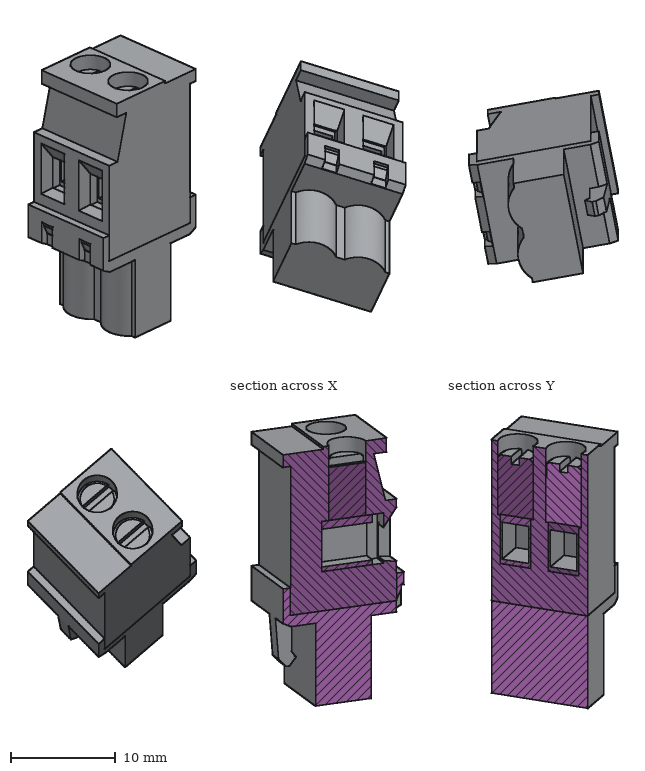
import cadquery as cq


width = 10.0
depth = 12.6
height = 26.0
pole_count = 2
pole_pitch = width / pole_count
pole_positions = [(i - (pole_count - 1) / 2) * pole_pitch for i in range(pole_count)]

base_bottom = 8.32
base_top = 12.27
base_floor = 9.52
wall = 0.78
bevel_depth = 0.83
bevel_height = 0.45
plug_front = 4.32
plug_back = 9.2
barrel_width = 4.13
barrel_bulge = 0.9

notch_width = 1.45
notch_top = 11.0
notch_slope_top = 10.55
notch_slope_bottom = 9.57
notch_top_depth = 0.29

hook_width = 1.45
hook_inner = 10.92
hook_barb_tip = 10.45
hook_outer_end = 12.27
hook_end_inner = 11.15
hook_end_outer = 11.52
hook_barb_top = 5.2
hook_barb_height = 4.58
hook_bottom = 3.77

housing_back = depth - wall
top_step_height = 0.25
rear_top = height - top_step_height
rear_lip_bottom = 24.45
top_step_position = 8.42
front_lip = 1.82
front_lip_bottom = 24.55
slope_top_depth = 3.12
slope_bottom_depth = 1.92
front_face_top = 19.73

entry_width = 3.1
entry_bottom = 13.47
entry_top = 18.88
funnel_end_width = 2.63
funnel_end_bottom = 13.7
funnel_end_top = 17.0
funnel_length = 1.35

screw_axis = 5.93
screw_diameter = 3.8
screw_top_diameter = 3.22
screw_recess = 1.38
screw_top = height - screw_recess
screw_bevel = 0.25
driver_slot_width = 0.78
driver_slot_depth = 0.78

chamber_front = wall + funnel_length
chamber_width = entry_width
chamber_bottom = entry_bottom
chamber_top = 18.45
clamp_front = 3.3
clamp_back = 2 * screw_axis - clamp_front
clamp_opening_width = 2.68
clamp_opening_bottom = 13.94
clamp_opening_top = 17.68


def box(x_centre, x_size, y_min, y_max, z_min, z_max):
    size = (x_size, y_max - y_min, z_max - z_min)
    return cq.Workplane("XY").box(*size, centered=(True, False, False)).translate((x_centre, y_min, z_min))


def side_profile(points, x_centre, x_size):
    """Extrude a (Y, Z) outline along X, centred on x_centre."""
    outline = cq.Workplane("YZ").polyline(points).close()
    return outline.extrude(x_size / 2, both=True).translate((x_centre, 0, 0))


def make_cradle():
    return side_profile(
        [
            (0, base_top),
            (0, base_bottom + bevel_height),
            (bevel_depth, base_bottom),
            (depth - bevel_depth, base_bottom),
            (depth, base_bottom + bevel_height),
            (depth, base_top),
            (housing_back, base_top),
            (housing_back, base_floor),
            (wall, base_floor),
            (wall, base_top),
        ],
        0,
        width,
    )


def make_barrel(x):
    """Shallow round bulge on the front of the plug."""
    half = barrel_width / 2
    return (
        cq.Workplane("XY")
        .moveTo(x - half, plug_front)
        .threePointArc((x, plug_front - barrel_bulge), (x + half, plug_front))
        .lineTo(x + half, plug_back)
        .lineTo(x - half, plug_back)
        .close()
        .extrude(base_bottom)
    )


def make_notch(x):
    """Notch whose roof slopes down toward the inside of the front wall."""
    return side_profile(
        [
            (0, base_bottom),
            (0, notch_top),
            (notch_top_depth, notch_top),
            (notch_top_depth, notch_slope_top),
            (wall, notch_slope_bottom),
            (wall, base_bottom),
        ],
        x,
        notch_width,
    )


def make_hook():
    """Latch hook with an inward barb, rooted in the bevelled rear edge of the base."""
    return side_profile(
        [
            (depth, base_bottom + bevel_height),
            (hook_outer_end, hook_barb_height),
            (hook_end_outer, hook_bottom),
            (hook_end_inner, hook_bottom),
            (hook_barb_tip, hook_barb_height),
            (hook_inner, hook_barb_top),
            (hook_inner, base_bottom + bevel_height),
        ],
        0,
        hook_width,
    )


def make_base():
    base = make_cradle().union(box(0, width, plug_front, plug_back, 0, base_bottom))
    for x in pole_positions:
        base = base.union(make_barrel(x)).cut(make_notch(x))
    return base.union(make_hook())


def make_housing_block():
    return side_profile(
        [
            (wall, base_floor),
            (wall, front_face_top),
            (slope_bottom_depth, front_face_top),
            (slope_top_depth, front_lip_bottom),
            (front_lip, front_lip_bottom),
            (front_lip, height),
            (top_step_position, height),
            (top_step_position, rear_top),
            (depth, rear_top),
            (depth, rear_lip_bottom),
            (housing_back, rear_lip_bottom),
            (housing_back, base_floor),
        ],
        0,
        width,
    )


def make_funnel(x):
    entry_middle = (entry_bottom + entry_top) / 2
    end_middle = (funnel_end_bottom + funnel_end_top) / 2
    return (
        cq.Workplane("XZ", origin=(x, wall, 0))
        .center(0, entry_middle)
        .rect(entry_width, entry_top - entry_bottom)
        .workplane(offset=-funnel_length)
        .center(0, end_middle - entry_middle)
        .rect(funnel_end_width, funnel_end_top - funnel_end_bottom)
        .loft(ruled=True)
    )


def make_chamber(x):
    return box(x, chamber_width, chamber_front, clamp_back, chamber_bottom, chamber_top)


def make_screw_hole(x):
    hole = cq.Workplane("XY", origin=(x, screw_axis, chamber_top))
    return hole.circle(screw_diameter / 2).extrude(height - chamber_top)


def make_housing():
    housing = make_housing_block()
    for x in pole_positions:
        housing = housing.cut(make_funnel(x)).cut(make_chamber(x)).cut(make_screw_hole(x))
    return housing


def make_screw(x):
    """Slotted screw with a bevelled top, resting on the clamp."""
    radius = screw_diameter / 2
    body = (
        cq.Workplane("XZ")
        .moveTo(0, chamber_top)
        .lineTo(radius, chamber_top)
        .lineTo(radius, screw_top - screw_bevel)
        .lineTo(screw_top_diameter / 2, screw_top)
        .lineTo(0, screw_top)
        .close()
        .revolve(360, (0, 0), (0, 1))
    )
    slot = box(0, driver_slot_width, -radius, radius, screw_top - driver_slot_depth, screw_top)
    return body.cut(slot).translate((x, screw_axis, 0))


def make_clamp(x):
    """Frame open from front to back, filling the rear of its chamber."""
    frame = box(x, chamber_width, clamp_front, clamp_back, chamber_bottom, chamber_top)
    opening = box(x, clamp_opening_width, clamp_front, clamp_back, clamp_opening_bottom, clamp_opening_top)
    return frame.cut(opening)


base = make_base()
housing = make_housing()
screws = [make_screw(x).val() for x in pole_positions]
clamps = [make_clamp(x).val() for x in pole_positions]

result = cq.Compound.makeCompound([base.val(), housing.val(), *screws, *clamps])